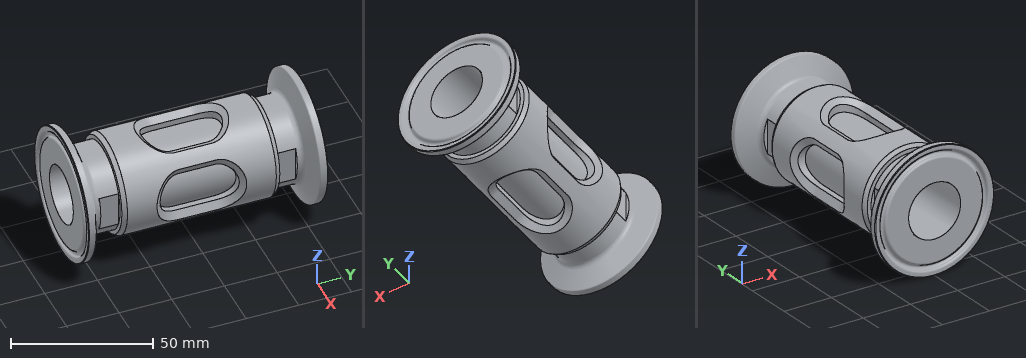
import cadquery as cq
import math

TOTAL_LENGTH = 91.0
BORE_RADIUS = 11.0

HOUSING_LENGTH = 60.0
HOUSING_RADIUS = 19.1
END_CHAMFER_RADIAL = 1.0
END_CHAMFER_AXIAL = 1.7

WINDOW_WIDTH = 16.0
WINDOW_LENGTH = 30.0
WINDOW_CHAMFER = 2.0
WINDOW_ANGLES = (0, 90, 180, 270)

END_SECTIONS = 12
CUTTER_OVERRUN = 0.2
CUTTER_CLEARANCE = 0.9

GLASS_RADIUS = 14.0

FLANGE_DIAMETER = 50.5
RIM_THICKNESS = 2.9
RIM_FACE_CHAMFER = 0.3
RIM_BACK_FILLET = 0.55
FLANGE_BACK_ANGLE = 20.0
NECK_RADIUS = 16.5
NECK_FILLET = 2.0
NECK_INSERTION = 10.0
FLAT_HALF_SPACING = 15.0
FLAT_START = 8.2

GROOVE_RADIUS = 21.75
GROOVE_HALF_WIDTH = 1.9
GROOVE_DEPTH = 1.5

SELECTION_MARGIN = 0.01

HOUSING_END = HOUSING_LENGTH / 2
FLANGE_RADIUS = FLANGE_DIAMETER / 2
FLANGE_FACE = TOTAL_LENGTH / 2
FERRULE_TIP = HOUSING_END - NECK_INSERTION
GLASS_LENGTH = 2 * FERRULE_TIP
EXPOSED_LENGTH = FLANGE_FACE - HOUSING_END
FERRULE_LENGTH = FLANGE_FACE - FERRULE_TIP


def cylinder(radius, length, start):
    """Cylinder along +Y that begins at the given Y."""
    solid = cq.Solid.makeCylinder(radius, length, cq.Vector(0, start, 0), cq.Vector(0, 1, 0))
    return cq.Workplane(solid)


def spin(outline):
    """Solid of revolution about Y from a closed (radius, Y) outline."""
    return outline.revolve(360, (0, 0), (0, 1))


def edges_at(y):
    """Selector for the edges that lie wholly in the plane at the given Y."""
    reach = FLANGE_RADIUS + SELECTION_MARGIN
    return cq.selectors.BoxSelector(
        (-reach, y - SELECTION_MARGIN, -reach),
        (reach, y + SELECTION_MARGIN, reach),
        boundingbox=True,
    )


def make_window_cutter():
    """Rounded slot through the wall on the +Z side."""
    return (
        cq.Workplane("XY")
        .slot2D(WINDOW_LENGTH, WINDOW_WIDTH, angle=90)
        .extrude(HOUSING_RADIUS + CUTTER_CLEARANCE)
    )


def chamfer_section(angle, end_y):
    """Triangle across the window rim, at one angle around the rounded end centred at end_y.

    The chamfer joins the two lines where a ball of radius WINDOW_CHAMFER, rolled inside the
    wall, touches the window side and the housing surface.
    """
    across = math.cos(angle)
    along = math.sin(angle)
    window_radius = WINDOW_WIDTH / 2
    ball_path_radius = window_radius + WINDOW_CHAMFER
    ball_distance = HOUSING_RADIUS - WINDOW_CHAMFER
    ball_x = ball_path_radius * across
    ball_y = end_y + ball_path_radius * along
    ball_z = math.sqrt(ball_distance**2 - ball_x**2)

    swell = HOUSING_RADIUS / ball_distance
    on_wall = cq.Vector(window_radius * across, end_y + window_radius * along, ball_z)
    on_surface = cq.Vector(ball_x * swell, ball_y, ball_z * swell)
    overrun = (on_surface - on_wall) * CUTTER_OVERRUN
    apex = cq.Vector(on_wall.x, on_wall.y, HOUSING_RADIUS + CUTTER_CLEARANCE)
    return cq.Wire.makePolygon([on_wall - overrun, on_surface + overrun, apex], close=True)


def make_chamfer_cutters():
    """Two straight sides and two rounded ends that bevel the rim of the +Z window."""
    end_y = (WINDOW_LENGTH - WINDOW_WIDTH) / 2
    cutters = []
    for end_angle, center_y in ((0, end_y), (math.pi, -end_y)):
        angles = [end_angle + math.pi * step / END_SECTIONS for step in range(END_SECTIONS + 1)]
        cutters.append(cq.Solid.makeLoft([chamfer_section(angle, center_y) for angle in angles]))
        side = [chamfer_section(end_angle, y) for y in (-end_y, end_y)]
        cutters.append(cq.Solid.makeLoft(side, True))
    return [cq.Workplane(cutter) for cutter in cutters]


def make_housing():
    outline = [
        (0, -HOUSING_END),
        (HOUSING_RADIUS - END_CHAMFER_RADIAL, -HOUSING_END),
        (HOUSING_RADIUS, -HOUSING_END + END_CHAMFER_AXIAL),
        (HOUSING_RADIUS, HOUSING_END - END_CHAMFER_AXIAL),
        (HOUSING_RADIUS - END_CHAMFER_RADIAL, HOUSING_END),
        (0, HOUSING_END),
    ]
    housing = spin(cq.Workplane("XY").polyline(outline).close())
    housing = housing.cut(cylinder(GLASS_RADIUS, HOUSING_LENGTH, -HOUSING_END))
    housing = housing.cut(cylinder(NECK_RADIUS, NECK_INSERTION, -HOUSING_END))
    housing = housing.cut(cylinder(NECK_RADIUS, NECK_INSERTION, FERRULE_TIP))
    window_cutters = [make_window_cutter(), *make_chamfer_cutters()]
    for angle in WINDOW_ANGLES:
        for cutter in window_cutters:
            housing = housing.cut(cutter.rotate((0, 0, 0), (0, 1, 0), angle))
    return housing


def make_glass():
    return cylinder(GLASS_RADIUS, GLASS_LENGTH, -FERRULE_TIP).cut(
        cylinder(BORE_RADIUS, GLASS_LENGTH, -FERRULE_TIP)
    )


def make_groove_cutter():
    """Ring with an S-shaped section: convex lips run smoothly into a concave floor."""
    quarter = GROOVE_HALF_WIDTH / 2
    turn = 2 * math.atan(GROOVE_DEPTH / GROOVE_HALF_WIDTH)
    arc_radius = quarter / math.sin(turn)
    mid_sag = arc_radius * (1 - math.cos(turn / 2))
    mid_run = arc_radius * math.sin(turn / 2)
    half_depth = GROOVE_DEPTH / 2
    inner = GROOVE_RADIUS - GROOVE_HALF_WIDTH
    outer = GROOVE_RADIUS + GROOVE_HALF_WIDTH
    profile = (
        cq.Workplane("XY")
        .moveTo(inner, 0)
        .threePointArc((inner + mid_run, mid_sag), (inner + quarter, half_depth))
        .threePointArc((GROOVE_RADIUS, GROOVE_DEPTH), (outer - quarter, half_depth))
        .threePointArc((outer - mid_run, mid_sag), (outer, 0))
        .close()
    )
    return spin(profile)


def make_flat_cutters():
    """Two blocks that leave wrench flats on the exposed neck, at -X and +X."""
    depth = NECK_RADIUS - FLAT_HALF_SPACING
    block_width = 2 * depth
    block = cq.Workplane("XY").box(block_width, EXPOSED_LENGTH - FLAT_START, 2 * NECK_RADIUS)
    block_x = FLAT_HALF_SPACING + block_width / 2
    block_y = (FLAT_START + EXPOSED_LENGTH) / 2
    return [block.translate((side * block_x, block_y, 0)) for side in (-1, 1)]


def make_ferrule():
    """Ferrule with its flange face at Y = 0 and its neck along +Y."""
    cone_length = (FLANGE_RADIUS - NECK_RADIUS) * math.tan(math.radians(FLANGE_BACK_ANGLE))
    outline = [
        (0, 0),
        (FLANGE_RADIUS - RIM_FACE_CHAMFER, 0),
        (FLANGE_RADIUS, RIM_FACE_CHAMFER),
        (FLANGE_RADIUS, RIM_THICKNESS),
        (NECK_RADIUS, RIM_THICKNESS + cone_length),
        (NECK_RADIUS, FERRULE_LENGTH),
        (0, FERRULE_LENGTH),
    ]
    ferrule = spin(cq.Workplane("XY").polyline(outline).close())
    ferrule = ferrule.edges(edges_at(RIM_THICKNESS)).fillet(RIM_BACK_FILLET)
    ferrule = ferrule.edges(edges_at(RIM_THICKNESS + cone_length)).fillet(NECK_FILLET)
    for flat_cutter in make_flat_cutters():
        ferrule = ferrule.cut(flat_cutter)
    ferrule = ferrule.cut(make_groove_cutter())
    return ferrule.cut(cylinder(BORE_RADIUS, FERRULE_LENGTH, 0))


housing = make_housing()
glass = make_glass()

ferrules = []
for turn in (0, 180):
    ferrule = make_ferrule().translate((0, -FLANGE_FACE, 0))
    ferrules.append(ferrule.rotate((0, 0, 0), (0, 0, 1), turn))

result = cq.Compound.makeCompound(
    [housing.val(), glass.val(), *[ferrule.val() for ferrule in ferrules]]
)